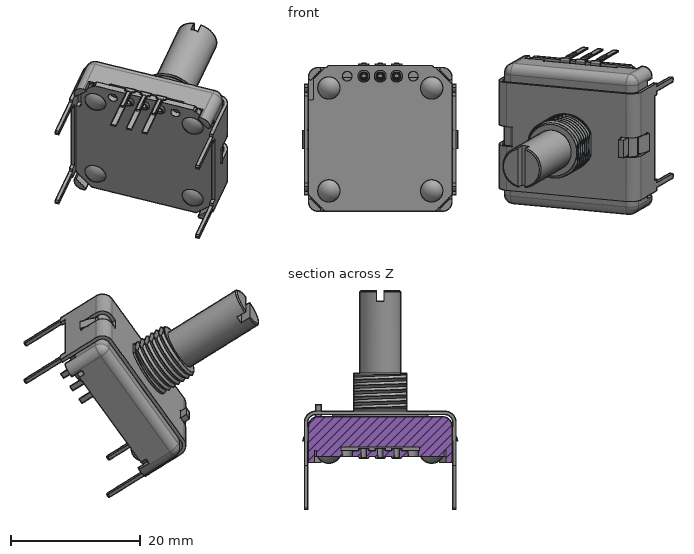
import cadquery as cq
import math


OVERALL_WIDTH = 23.9
OVERALL_LENGTH = 33.7

SHAFT_RADIUS = 3.17
SHAFT_TIP_Y = 18.53
SHAFT_CHAMFER = 0.2
SLOT_WIDTH = 1.15
SLOT_DEPTH = 1.62

BUSHING_RADIUS = 4.48
BUSHING_LENGTH = 5.83
BUSHING_FLATS = 8.2
THREAD_PITCH = 0.88
THREAD_DEPTH = 0.4
THREAD_CREST = 0.07
THREAD_START_Y = -0.3
COLLAR_LENGTH = 0.3
THREAD_START_ANGLE = 90

SHEET = 0.55
BRACKET_WIDTH = 23.38
BRACKET_HEIGHT = 17.05
BEND_RADIUS = 1.8
SIDE_EDGE_Y = -7.5
EAR_Y = -8.4
EAR_WIDTH = 1.85
LEG_TIP_Y = SHAFT_TIP_Y - OVERALL_LENGTH
LEG_WIDTH = 0.77
LEG_Z = 7.6
LEG_CHAMFER = 0.25
WINDOW_HEIGHT = 3.1
WINDOW_INNER_X = 9.0

HOUSING_WIDTH = 22.1
HOUSING_HEIGHT = 22.17
HOUSING_FRONT_Y = -0.85
HOUSING_RADIUS = 1.48
FLANGE_RADIUS = 7.38
RECESS_Y = -6.1
POST_END_Y = -7.95
POST_EDGE = 9.3
POST_JOG = 0.2
POST_JOG_DEPTH = 0.35
SIDE_PART_HEIGHT = 2.8
WEDGE_START_Y = -1.85
WEDGE_END_Y = -4.58
WEDGE_TIP_X = OVERALL_WIDTH / 2
KEY_X = -9.5
KEY_WIDTH = 0.88
KEY_TIP_Y = 1.0

PLATE_THICKNESS = 0.9
PLATE_TOP_Z = 11.4
PLATE_CORNER = 2.55
TONGUE_HALF_WIDTH = 8.3
SIDE_NOTCH_X = -10.25
SIDE_NOTCH_Z = 6.05
SIDE_NOTCH_CHAMFER = 0.25
RIVET_OFFSET = 7.92
RIVET_RADIUS = 1.72
RIVET_HEIGHT = 1.05
HOLE_ROW_Z = 9.75
HOLE_OFFSET = 5.1
HOLE_RADIUS = 0.75

TERMINAL_PITCH = 2.53
TERMINAL_TIP_Y = -14.22
TERMINAL_THICKNESS = 0.25
TERMINAL_WIDTH = 0.85
HEAD_WIDTH = 1.6
HEAD_START_Y = -5.8
HEAD_END_Y = -6.5
HEAD_BEND_RADIUS = 0.27
RIB_START_Y = -6.6
RIB_END_Y = -10.25
RIB_TOP_Z = 11.8
RIB_HEIGHT = 0.2
RIB_TAPER = 40
POCKET_HALF_WIDTH = 6.03
POCKET_DEPTH = 0.55
POCKET_FLOOR_Z = 9.5
EYELET_RADIUS = 0.9
EYELET_RIM_RADIUS = 0.67
EYELET_HEIGHT = 0.3
EYELET_BORE_RADIUS = 0.37
EYELET_FUNNEL_RADIUS = 0.55
EYELET_FUNNEL_DEPTH = 0.17

PLATE_BACK_Y = RECESS_Y - PLATE_THICKNESS
HALF_WIDTH = HOUSING_WIDTH / 2
HALF_HEIGHT = HOUSING_HEIGHT / 2


def block(x_range, y_range, z_range):
    """Box between the given limits."""
    sizes = [abs(high - low) for low, high in (x_range, y_range, z_range)]
    lows = [min(limits) for limits in (x_range, y_range, z_range)]
    return cq.Workplane("XY").box(*sizes, centered=False).translate(tuple(lows))


def cylinder(radius, start_y, end_y, x=0, z=0):
    """Cylinder along Y from start_y up to end_y."""
    disc = cq.Workplane("XZ", origin=(x, start_y, z)).circle(radius)
    return disc.extrude(start_y - end_y)


def prism_along_y(points, start_y, end_y):
    """Extrude an XZ outline from start_y to end_y."""
    outline = cq.Workplane("XZ", origin=(0, start_y, 0)).polyline(points).close()
    return outline.extrude(start_y - end_y)


def make_shaft():
    shaft = cylinder(SHAFT_RADIUS, 0, SHAFT_TIP_Y).faces(">Y").chamfer(SHAFT_CHAMFER)
    half_slot = SLOT_WIDTH / 2
    return shaft.cut(block(
        (-half_slot, half_slot),
        (SHAFT_TIP_Y - SLOT_DEPTH, SHAFT_TIP_Y),
        (-SHAFT_RADIUS, SHAFT_RADIUS),
    ))


def make_thread_groove():
    """Right-handed V groove around Z, running out past the end of the bushing."""
    overlap = 0.1
    root_radius = BUSHING_RADIUS - THREAD_DEPTH
    half_mouth = (THREAD_PITCH - THREAD_CREST) / 2 * (1 + overlap / THREAD_DEPTH)
    length = BUSHING_LENGTH - THREAD_START_Y + THREAD_PITCH
    path = cq.Wire.makeHelix(THREAD_PITCH, length, root_radius)
    profile = cq.Workplane("XZ").polyline([
        (root_radius, 0),
        (BUSHING_RADIUS + overlap, half_mouth),
        (BUSHING_RADIUS + overlap, -half_mouth),
    ]).close()
    return profile.sweep(cq.Workplane(obj=path), isFrenet=True)


def make_bushing():
    blank = cylinder(BUSHING_RADIUS, -SHEET, BUSHING_LENGTH)
    groove = (
        make_thread_groove()
        .rotate((0, 0, 0), (0, 0, 1), THREAD_START_ANGLE)
        .rotate((0, 0, 0), (1, 0, 0), -90)
        .translate((0, THREAD_START_Y, 0))
    )
    half_flats = BUSHING_FLATS / 2
    flats = block(
        (-half_flats, half_flats),
        (-SHEET, BUSHING_LENGTH),
        (-BUSHING_RADIUS, BUSHING_RADIUS),
    )
    envelope = blank.faces(">Y").chamfer(THREAD_DEPTH).intersect(flats)
    collar = cylinder(BUSHING_RADIUS, -SHEET, COLLAR_LENGTH)
    return blank.cut(groove).union(collar).intersect(envelope)


def make_bracket():
    """Sheet bent into a U, with four legs and a snap window at each bend."""
    half_width = BRACKET_WIDTH / 2
    half_height = BRACKET_HEIGHT / 2
    inner_x = half_width - SHEET
    z_range = (-half_height, half_height)
    outer = block((-half_width, half_width), (SIDE_EDGE_Y, 0), z_range)
    inner = block((-inner_x, inner_x), (SIDE_EDGE_Y, -SHEET), z_range)
    outer = outer.edges("|Z and >Y").fillet(BEND_RADIUS)
    inner = inner.edges("|Z and >Y").fillet(BEND_RADIUS - SHEET)
    bracket = outer.cut(inner)
    half_window = WINDOW_HEIGHT / 2
    for side in (-1, 1):
        sheet_x = (side * inner_x, side * half_width)
        bracket = bracket.cut(block(
            (side * WINDOW_INNER_X, side * half_width),
            (WEDGE_END_Y, 0),
            (-half_window, half_window),
        ))
        for end in (-1, 1):
            ear_z = (end * (half_height - EAR_WIDTH), end * half_height)
            leg_z = (end * LEG_Z - LEG_WIDTH / 2, end * LEG_Z + LEG_WIDTH / 2)
            ear = block(sheet_x, (EAR_Y, SIDE_EDGE_Y), ear_z)
            leg = block(sheet_x, (LEG_TIP_Y, EAR_Y), leg_z)
            leg = leg.faces("<Y").edges("|X").chamfer(LEG_CHAMFER)
            bracket = bracket.union(ear).union(leg)
    return bracket


def make_post_outline(x_side, z_side):
    """Corner region outside the rear plate, with a short jog at each end."""
    inner_edge = POST_EDGE - POST_JOG
    jog_z = HALF_HEIGHT - POST_JOG_DEPTH
    jog_x = HALF_WIDTH - POST_JOG_DEPTH
    points = [
        (POST_EDGE, HALF_HEIGHT),
        (inner_edge, jog_z),
        (jog_x, inner_edge),
        (HALF_WIDTH, POST_EDGE),
        (HALF_WIDTH, HALF_HEIGHT),
    ]
    return [(x_side * x, z_side * z) for x, z in points]


def make_housing():
    housing = block(
        (-HALF_WIDTH, HALF_WIDTH),
        (POST_END_Y, HOUSING_FRONT_Y),
        (-HALF_HEIGHT, HALF_HEIGHT),
    )
    housing = housing.edges("|Y or >Y").fillet(HOUSING_RADIUS)
    recess = block(
        (-HALF_WIDTH, HALF_WIDTH),
        (POST_END_Y, RECESS_Y),
        (-HALF_HEIGHT, HALF_HEIGHT),
    )
    for x_side in (-1, 1):
        for z_side in (-1, 1):
            outline = make_post_outline(x_side, z_side)
            recess = recess.cut(prism_along_y(outline, POST_END_Y, RECESS_Y))
    pocket = block(
        (-POCKET_HALF_WIDTH, POCKET_HALF_WIDTH),
        (RECESS_Y, RECESS_Y + POCKET_DEPTH),
        (POCKET_FLOOR_Z, HALF_HEIGHT),
    )
    flange = cylinder(FLANGE_RADIUS, HOUSING_FRONT_Y, -SHEET)
    return housing.cut(recess).cut(pocket).union(flange)


def make_snap_wedge(side):
    """Ramp on the housing side that catches in the bracket window."""
    ramp = cq.Workplane("XY").polyline([
        (side * HALF_WIDTH, WEDGE_START_Y),
        (side * WEDGE_TIP_X, WEDGE_END_Y),
        (side * HALF_WIDTH, WEDGE_END_Y),
    ]).close()
    return ramp.extrude(SIDE_PART_HEIGHT / 2, both=True)


def make_locating_key():
    return block(
        (KEY_X - KEY_WIDTH / 2, KEY_X + KEY_WIDTH / 2),
        (HOUSING_FRONT_Y - HOUSING_RADIUS, KEY_TIP_Y),
        (-SIDE_PART_HEIGHT / 2, SIDE_PART_HEIGHT / 2),
    )


def make_rear_plate():
    plate = block((-HALF_WIDTH, HALF_WIDTH), (PLATE_BACK_Y, RECESS_Y), (-HALF_HEIGHT, HALF_HEIGHT))
    plate = plate.edges("|Y").chamfer(PLATE_CORNER)
    step = PLATE_TOP_Z - HALF_HEIGHT
    tongue = block(
        (-TONGUE_HALF_WIDTH, TONGUE_HALF_WIDTH),
        (PLATE_BACK_Y, RECESS_Y),
        (0, PLATE_TOP_Z),
    )
    tongue = tongue.edges("|Y and >Z").chamfer(step)
    notch = block(
        (-HALF_WIDTH, SIDE_NOTCH_X),
        (PLATE_BACK_Y, RECESS_Y),
        (SIDE_NOTCH_Z, HALF_HEIGHT),
    )
    notch = notch.edges("|Y and >X and <Z").chamfer(SIDE_NOTCH_CHAMFER)
    plate = plate.union(tongue).cut(notch)
    for x in (-HOLE_OFFSET, HOLE_OFFSET):
        plate = plate.cut(cylinder(HOLE_RADIUS, PLATE_BACK_Y, RECESS_Y, x, HOLE_ROW_Z))
    return plate


def make_rivet(x, z):
    """Shallow spherical rivet head on the back of the plate."""
    sphere_radius = (RIVET_RADIUS**2 + RIVET_HEIGHT**2) / (2 * RIVET_HEIGHT)
    mid_angle = math.asin(RIVET_RADIUS / sphere_radius) / 2
    center_y = PLATE_BACK_Y - RIVET_HEIGHT + sphere_radius
    mid_point = (
        sphere_radius * math.sin(mid_angle),
        center_y - sphere_radius * math.cos(mid_angle),
    )
    half_profile = (
        cq.Workplane("XY")
        .moveTo(0, RECESS_Y)
        .lineTo(RIVET_RADIUS, RECESS_Y)
        .lineTo(RIVET_RADIUS, PLATE_BACK_Y)
        .threePointArc(mid_point, (0, PLATE_BACK_Y - RIVET_HEIGHT))
        .close()
    )
    return half_profile.revolve(360, (0, 0, 0), (0, 1, 0)).translate((x, 0, z))


def make_eyelet(x):
    """Rolled rim around a terminal hole."""
    rim_y = PLATE_BACK_Y - EYELET_HEIGHT
    rim = cq.Workplane("XY").polyline([
        (0, PLATE_BACK_Y),
        (EYELET_RADIUS, PLATE_BACK_Y),
        (EYELET_RIM_RADIUS, rim_y),
        (0, rim_y),
    ]).close()
    return rim.revolve(360, (0, 0, 0), (0, 1, 0)).translate((x, 0, HOLE_ROW_Z))


def make_eyelet_bore(x):
    """Bore through the eyelet, plate and terminal, funnel-shaped at its mouth."""
    rim_y = PLATE_BACK_Y - EYELET_HEIGHT
    bore = cq.Workplane("XY").polyline([
        (0, rim_y),
        (EYELET_FUNNEL_RADIUS, rim_y),
        (EYELET_BORE_RADIUS, rim_y + EYELET_FUNNEL_DEPTH),
        (EYELET_BORE_RADIUS, HEAD_START_Y),
        (0, HEAD_START_Y),
    ]).close()
    return bore.revolve(360, (0, 0, 0), (0, 1, 0)).translate((x, 0, HOLE_ROW_Z))


def make_terminal(x):
    """Strip that rises in front of the plate, bends over its top and ends as a ribbed pin."""
    top_z = PLATE_TOP_Z + TERMINAL_THICKNESS
    head_x = (-HEAD_WIDTH / 2, HEAD_WIDTH / 2)
    pin_x = (-TERMINAL_WIDTH / 2, TERMINAL_WIDTH / 2)
    head = block(head_x, (HEAD_END_Y, HEAD_START_Y), (POCKET_FLOOR_Z, top_z))
    head = head.edges("|X and >Y and >Z").fillet(HEAD_BEND_RADIUS)
    under_head = block(head_x, (HEAD_END_Y, RECESS_Y), (POCKET_FLOOR_Z, PLATE_TOP_Z))
    pin = block(pin_x, (TERMINAL_TIP_Y, HEAD_END_Y), (PLATE_TOP_Z, top_z))
    base_z = RIB_TOP_Z - RIB_HEIGHT
    rib = (
        cq.Workplane("XY", origin=(0, (RIB_START_Y + RIB_END_Y) / 2, base_z))
        .slot2D(RIB_START_Y - RIB_END_Y, TERMINAL_WIDTH, 90)
        .extrude(RIB_HEIGHT, taper=RIB_TAPER)
    )
    return head.cut(under_head).union(pin).union(rib).translate((x, 0, 0))


result = make_housing().union(make_bracket()).union(make_bushing()).union(make_shaft())
result = result.union(make_locating_key()).union(make_rear_plate())
for wedge_side in (-1, 1):
    result = result.union(make_snap_wedge(wedge_side))
for rivet_x in (-RIVET_OFFSET, RIVET_OFFSET):
    for rivet_z in (-RIVET_OFFSET, RIVET_OFFSET):
        result = result.union(make_rivet(rivet_x, rivet_z))
for terminal_x in (-TERMINAL_PITCH, 0, TERMINAL_PITCH):
    result = result.union(make_terminal(terminal_x)).union(make_eyelet(terminal_x))
    result = result.cut(make_eyelet_bore(terminal_x))